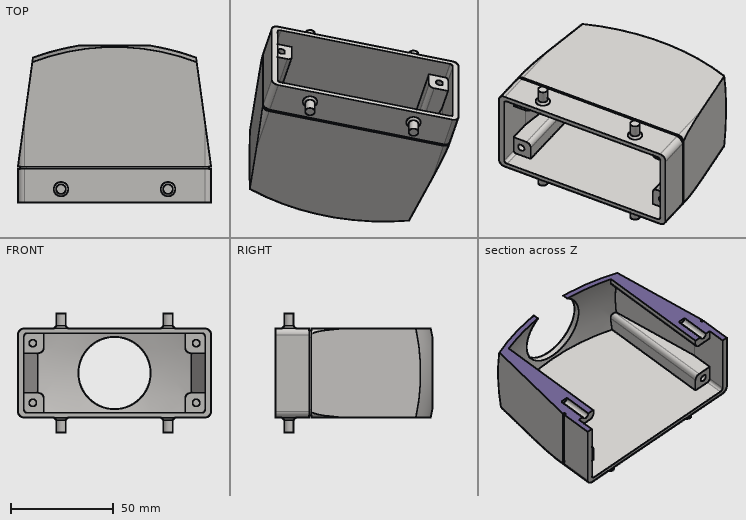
import cadquery as cq
import math

width = 94.0
height = 43.4
corner_radius = 3.2
side_wall = 3.0
face_wall = 2.4

skirt_depth = 16.4
groove_width = 1.0
groove_depth = 1.0
shell_start = skirt_depth + groove_width

side_taper = 7.85
dome_radius = 114.0
cable_hole_diameter = 35.0
rim_depth = 76.31

cavity_taper_start = 20.0
cavity_corner_radius = 1.5
dome_thickness = side_wall

post_size = 9.6
post_recess = 9.0
post_corner_radius = 2.5
screw_hole_diameter = 3.5
screw_hole_depth = 15.0
screw_x = 39.7
screw_z = 14.5

pin_diameter = 4.67
pin_spacing = 52.0
pin_y = 6.5
pin_span = 58.0
collar_diameter = 7.0

cavity_width = width - 2 * side_wall
cavity_height = height - 2 * face_wall
cable_hole_radius = cable_hole_diameter / 2
dome_center_y = rim_depth - math.sqrt(dome_radius**2 - cable_hole_radius**2)
dome_top = dome_center_y + dome_radius
collar_height = (collar_diameter - pin_diameter) / 2
pin_length = (pin_span - height) / 2 - collar_height


def rounded_bar(bar_width, bar_height, radius, start, end):
    """Rectangular bar along Y with rounded long edges."""
    return (
        cq.Workplane("XY")
        .box(bar_width, end - start, bar_height, centered=(True, False, True))
        .edges("|Y")
        .fillet(radius)
        .translate((0, start, 0))
    )


def domed_block(block_width, block_height, radius, taper_start, ball_radius):
    """Rounded bar whose sides lean inwards from taper_start and whose far end is spherical."""
    half_width = block_width / 2
    end_half_width = half_width - (dome_top - taper_start) * math.tan(math.radians(side_taper))
    side_profile = (
        cq.Workplane("XY")
        .moveTo(-half_width, 0)
        .lineTo(half_width, 0)
        .lineTo(half_width, taper_start)
        .lineTo(end_half_width, dome_top)
        .lineTo(-end_half_width, dome_top)
        .lineTo(-half_width, taper_start)
        .close()
        .extrude(block_height, both=True)
    )
    ball = cq.Workplane("XY").sphere(ball_radius).translate((0, dome_center_y, 0))
    bar = rounded_bar(block_width, block_height, radius, 0, dome_top)
    return bar.intersect(side_profile).intersect(ball)


def groove_cutter():
    """Ring that cuts the groove between the skirt and the tapered shell."""
    ring = (
        cq.Workplane("XY")
        .box(width, groove_width, height, centered=(True, False, True))
        .translate((0, skirt_depth, 0))
    )
    core = rounded_bar(
        width - 2 * groove_depth, height - 2 * groove_depth, corner_radius, skirt_depth, shell_start
    )
    return ring.cut(core)


def post(side_x, side_z):
    """Screw post along Y in one corner of the cavity; its free long edge is rounded."""
    center_x = side_x * (cavity_width - post_size) / 2
    center_z = side_z * (cavity_height - post_size) / 2
    free_side_x = "<X" if side_x > 0 else ">X"
    free_side_z = "<Z" if side_z > 0 else ">Z"
    return (
        cq.Workplane("XY")
        .box(post_size, dome_top - post_recess, post_size, centered=(True, False, True))
        .faces(free_side_x)
        .edges(free_side_z)
        .fillet(post_corner_radius)
        .translate((center_x, post_recess, center_z))
    )


def bore(diameter, start, end, x=0, z=0):
    """Cylinder along Y."""
    base = cq.Vector(x, start, z)
    direction = cq.Vector(0, 1, 0)
    cylinder = cq.Solid.makeCylinder(diameter / 2, end - start, base, direction)
    return cq.Workplane(cylinder)


def make_housing():
    cavity = domed_block(
        cavity_width,
        cavity_height,
        cavity_corner_radius,
        cavity_taper_start,
        dome_radius - dome_thickness,
    )
    for side_x in (-1, 1):
        for side_z in (-1, 1):
            cavity = cavity.cut(post(side_x, side_z))

    body = domed_block(width, height, corner_radius, shell_start, dome_radius)
    body = body.cut(groove_cutter()).cut(cavity)
    body = body.cut(bore(cable_hole_diameter, dome_top / 2, 2 * dome_top))
    screw_hole_end = post_recess + screw_hole_depth
    for x in (-screw_x, screw_x):
        for z in (-screw_z, screw_z):
            body = body.cut(bore(screw_hole_diameter, post_recess, screw_hole_end, x, z))
    return body


def make_collar(x, side_z):
    base = cq.Vector(x, pin_y, side_z * height / 2)
    direction = cq.Vector(0, 0, side_z)
    cone = cq.Solid.makeCone(collar_diameter / 2, pin_diameter / 2, collar_height, base, direction)
    return cq.Workplane(cone)


def make_pin(x, side_z):
    base = cq.Vector(x, pin_y, side_z * (height / 2 + collar_height))
    direction = cq.Vector(0, 0, side_z)
    return cq.Workplane(cq.Solid.makeCylinder(pin_diameter / 2, pin_length, base, direction))


housing = make_housing()
bodies = [housing.val()]
for x in (-pin_spacing / 2, pin_spacing / 2):
    for side_z in (-1, 1):
        bodies.append(make_collar(x, side_z).val())
        bodies.append(make_pin(x, side_z).val())

result = cq.Compound.makeCompound(bodies)